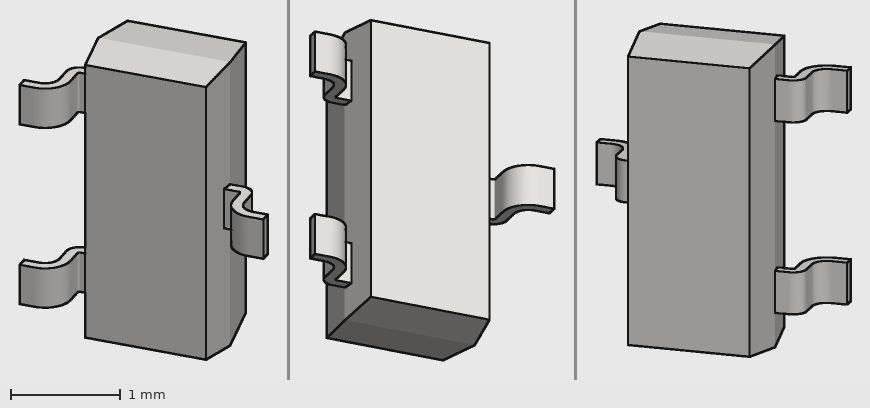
import cadquery as cq
import math

BODY_LENGTH = 2.9
BODY_WIDTH = 1.302
BACK_DEPTH = 0.55
FRONT_DEPTH = 0.45
DRAFT_ANGLE = 7.0

LEAD_SPAN = 2.4
LEAD_THICKNESS = 0.11
LEAD_WIDTH = 0.403
STANDOFF = 0.1
FOOT_LENGTH = 0.148
SHOULDER_INNER_RADIUS = 0.017
FOOT_OUTER_RADIUS = 0.252
LEAD_OFFSET = 0.92

shoulder_outer_radius = SHOULDER_INNER_RADIUS + LEAD_THICKNESS
foot_inner_radius = FOOT_OUTER_RADIUS - LEAD_THICKNESS
foot_tip_x = LEAD_SPAN / 2
bend_end_x = foot_tip_x - FOOT_LENGTH
leg_inner_x = bend_end_x - FOOT_OUTER_RADIUS
leg_outer_x = leg_inner_x + LEAD_THICKNESS
foot_front_y = -(FRONT_DEPTH + STANDOFF)
foot_back_y = foot_front_y + LEAD_THICKNESS
foot_bend_y = foot_front_y + FOOT_OUTER_RADIUS
shoulder_bend_x = leg_outer_x - shoulder_outer_radius
shoulder_bend_y = -shoulder_outer_radius
lead_root_x = BODY_WIDTH / 2 - LEAD_THICKNESS * math.tan(math.radians(DRAFT_ANGLE))


def body_half(depth, direction):
    """Drafted block growing from the parting plane along Y (direction +1 or -1)."""
    plane = cq.Plane(origin=(0, 0, 0), xDir=(1, 0, 0), normal=(0, direction, 0))
    return cq.Workplane(plane).rect(BODY_WIDTH, BODY_LENGTH).extrude(depth, taper=DRAFT_ANGLE)


def make_body():
    return body_half(BACK_DEPTH, 1).union(body_half(FRONT_DEPTH, -1), clean=False).solids()


def arc_middle(center_x, center_y, radius, side):
    """Midpoint of a quarter bend; side +1 lies toward (+X, +Y), -1 toward (-X, -Y)."""
    reach = side * radius / math.sqrt(2)
    return center_x + reach, center_y + reach


def make_lead(center_z, body):
    """Lead on the +X side, ending flush against the drafted body side."""
    lead = (
        cq.Workplane("XY", origin=(0, 0, center_z - LEAD_WIDTH / 2))
        .moveTo(lead_root_x, 0)
        .lineTo(shoulder_bend_x, 0)
        .threePointArc(
            arc_middle(shoulder_bend_x, shoulder_bend_y, shoulder_outer_radius, 1),
            (leg_outer_x, shoulder_bend_y),
        )
        .lineTo(leg_outer_x, foot_bend_y)
        .threePointArc(
            arc_middle(bend_end_x, foot_bend_y, foot_inner_radius, -1),
            (bend_end_x, foot_back_y),
        )
        .lineTo(foot_tip_x, foot_back_y)
        .lineTo(foot_tip_x, foot_front_y)
        .lineTo(bend_end_x, foot_front_y)
        .threePointArc(
            arc_middle(bend_end_x, foot_bend_y, FOOT_OUTER_RADIUS, -1),
            (leg_inner_x, foot_bend_y),
        )
        .lineTo(leg_inner_x, shoulder_bend_y)
        .threePointArc(
            arc_middle(shoulder_bend_x, shoulder_bend_y, SHOULDER_INNER_RADIUS, 1),
            (shoulder_bend_x, -LEAD_THICKNESS),
        )
        .lineTo(lead_root_x, -LEAD_THICKNESS)
        .close()
        .extrude(LEAD_WIDTH)
    )
    return lead.cut(body).solids()


body = make_body()

leads = [make_lead(0, body).val()]
for center_z in (-LEAD_OFFSET, LEAD_OFFSET):
    leads.append(make_lead(center_z, body).val().mirror("YZ"))

result = cq.Compound.makeCompound([body.val(), *leads])